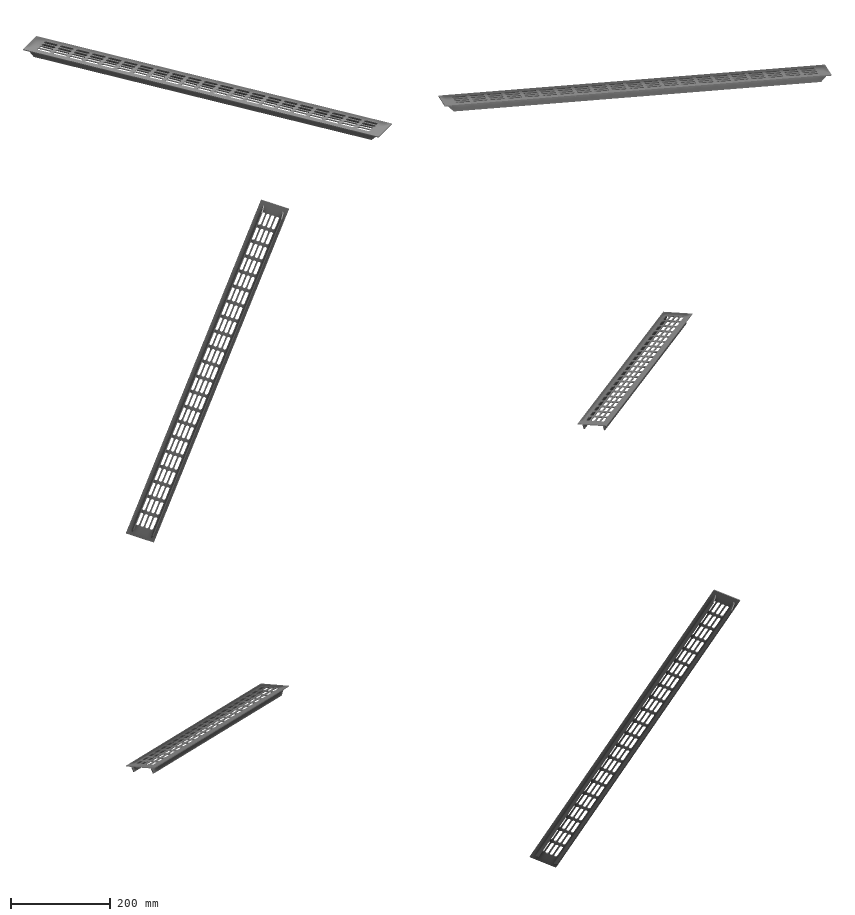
import cadquery as cq

plate_length = 800.0
plate_width = 60.0
plate_thickness = 2.0

overall_height = 17.0
flange_height = overall_height - plate_thickness
flange_thickness = 2.0
flange_outer_span = 44.0
flange_spacing = flange_outer_span - flange_thickness
flange_length = 780.0
flange_chamfer = (plate_length - flange_length) / 2

column_count = 21
column_pitch = 36.0
web_width = 6.0
slot_length = column_pitch - web_width
row_count = 4
slot_width = 7.0
bar_width = 3.0
row_pitch = slot_width + bar_width


def make_plate():
    """Flat rectangular plate whose top face lies at z = 0."""
    return (
        cq.Workplane("XY")
        .rect(plate_length, plate_width)
        .extrude(-plate_thickness)
    )


def make_slots():
    """Grid of cutters for the slots, as deep as the plate."""
    return (
        cq.Workplane("XY")
        .rarray(column_pitch, row_pitch, column_count, row_count)
        .slot2D(slot_length, slot_width)
        .extrude(-plate_thickness)
    )


def make_flange(y_center):
    """Vertical strip under the plate with its lower end corners cut off."""
    return (
        cq.Workplane("XY")
        .workplane(offset=-plate_thickness)
        .center(0, y_center)
        .rect(flange_length, flange_thickness)
        .extrude(-flange_height)
        .faces("<Z")
        .edges("|Y")
        .chamfer(flange_chamfer)
    )


result = make_plate().cut(make_slots())
for side in (-1, 1):
    result = result.union(make_flange(side * flange_spacing / 2))